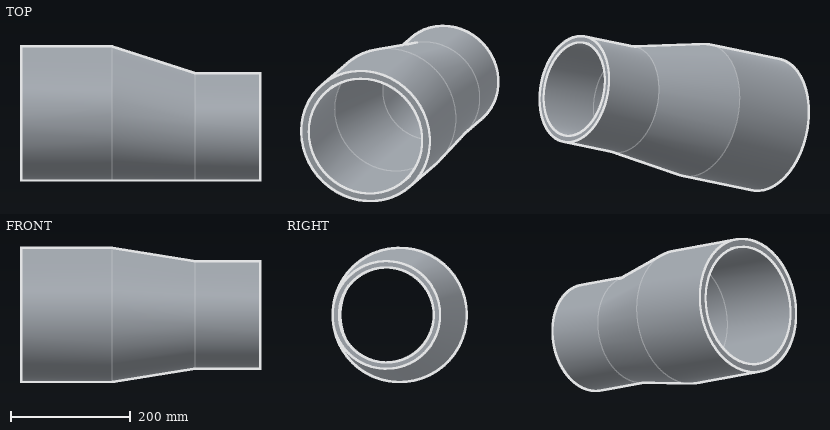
import cadquery as cq

total_length = 400.0
large_length = 151.5
small_length = 109.0
taper_length = total_length - large_length - small_length

large_outer = 225.0
large_bore = 198.0
small_outer = 180.0
small_bore = 158.5

small_offset = -(large_outer - small_outer) / 2

taper_start = large_length
taper_end = large_length + taper_length


def stepped_body(large_diameter, small_diameter):
    """Large cylinder, eccentric taper and small cylinder joined end to end."""
    large_end = cq.Workplane("YZ").circle(large_diameter / 2).extrude(large_length)
    taper = (
        cq.Workplane("YZ", origin=(taper_start, 0, 0))
        .circle(large_diameter / 2)
        .workplane(offset=taper_length)
        .center(small_offset, 0)
        .circle(small_diameter / 2)
        .loft(ruled=True)
    )
    small_end = (
        cq.Workplane("YZ", origin=(taper_end, small_offset, 0))
        .circle(small_diameter / 2)
        .extrude(small_length)
    )
    return large_end.union(taper).union(small_end)


outside = stepped_body(large_outer, small_outer)
bore = stepped_body(large_bore, small_bore)

result = outside.cut(bore)